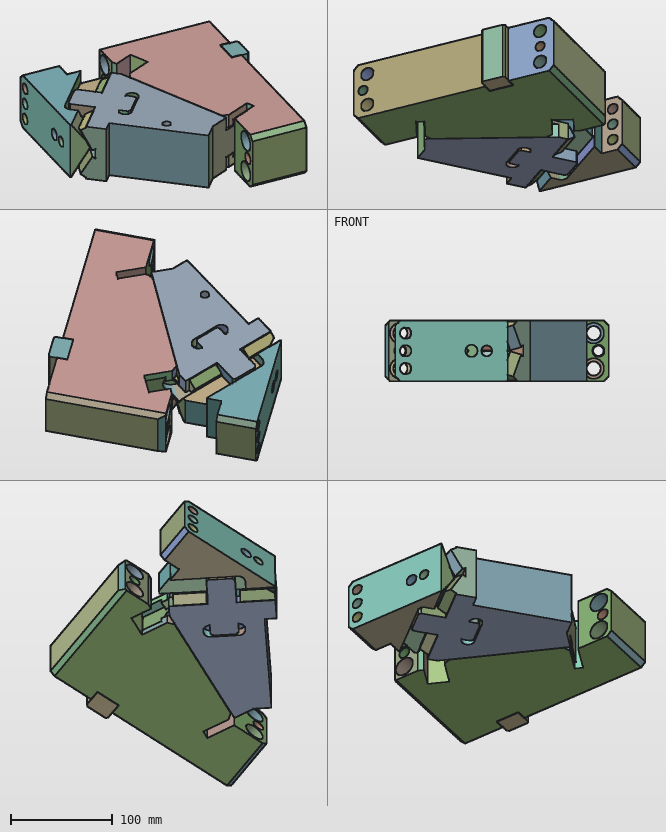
import cadquery as cq
import math

WIDTH = 60.0
HALF = WIDTH / 2
EDGE_CHAMFER = 5.0
BOLT_Z = 17.4
CLEAR = 264.0

TRAVEL_ANGLE = 25.0
RIDGE_ANGLE = -40.0
FLANK_LEAN = TRAVEL_ANGLE - RIDGE_ANGLE

LENGTH = 220.0
HOLDER_TOP = 209.9
LEFT_LEG_Y = 89.8
RIGHT_LEG_Y = 150.5
LEFT_CORNER = (3.5, 7.0)

WEB_LEFT = 93.7
WEB_RIGHT = 218.7
WEB_V = 56.5
WEB_CHAMFER = 5.3
SLOT_END_V = 90.2
LEFT_SLOT = 21.5
RIGHT_SLOT = 8.4
LEG_LIP_V = 68.2

HOLDER_BOLT_X = 15.0
BOLT_RADIUS = 6.8
COUNTERBORE_RADIUS = 10.1
HEAD_SEAT = 30.0
DOWEL_RADIUS = 5.0
DOWEL_RELIEF_RADIUS = 6.0
RIGHT_DOWEL_X = 209.7

KEY_LEFT = 49.7
KEY_LENGTH = 25.7
KEY_BOTTOM = 199.5
KEY_TOP = 219.0
KEY_SINK = 0.7
KEY_CHAMFER = 1.8

NECK_HALF = 15.6
HEAD_HALF = 21.3
HEAD_V = 68.5
GROOVE_END_V = 94.5
TONGUE_END_V = 94.0
TONGUE_LEFT = 102.5
SLIDE_RIGHT = 220.0
SPRING_V = 57.2
SPRING_RADIUS = 12.3
SPRING_DEPTH = 7.7

ROOF_Q = 94.8
ROOF_SLOPE = math.tan(math.radians(29))
CHEEK_HALF = 17.4

SLIDE_V = 56.0
FLANK_P = -13.9
WORK_P = 79.2
HEEL_P = 91.0
HEEL_Q = 113.5
SLIDE_TOP_Q = 214.0
LIP_Q = 92.8
LIP_TIP_Q = 83.5
LIP_LEFT_P = -9.2
LIP_ROOT_Z = 28.8
LIP_TIP_Z = 22.7
HEEL_FLARE = (9.7, 6.5)
FLANK_FLARE = (2.2, 1.5)
RELIEF_TIP_Q = 93.7
RELIEF_FLOOR_Q = 102.5
RELIEF_HALF = 5.5
LIP_GAP = (23.5, 56.8)

KEEPER_LEFT = 24.9
KEEPER_RIGHT = 53.0
KEEPER_BOTTOM = 65.5
KEEPER_TOP = 128.5
KEEPER_CHAMFER = 2.2
LOBE_Q = 123.5
LOBE_RADIUS = 6.5

SLIDE_HOLE_X = 159.7
SLIDE_HOLE_Y = 86.2
SLIDE_HOLE_RADIUS = 4.2
SLIDE_HOLE_DEPTH = 13.2
DRILL_POINT = 118.0

DRIVER_LEFT = 10.0
DRIVER_RIGHT = 120.3
FOOT_Y = 40.0
STEP_X = 32.5
STEP_Y = 54.8
RIDGE_LEFT = 35.2
RIDGE_END_P = -22.7
POCKET_Q = 63.4
POCKET_RIGHT_P = 63.1
POCKET_RADIUS = 6.5
FOOT_BOLT_X = 20.2
FOOT_BOLT_RADIUS = 5.5
DRIVER_DOWELS = ((85.0, 6.0), (99.9, 5.3))


def turned(angle, z=0.0):
    """Workplane parallel to XY, turned about Z."""
    turn = math.radians(angle)
    x_dir = (math.cos(turn), math.sin(turn), 0)
    return cq.Workplane(cq.Plane(origin=(0, 0, z), xDir=x_dir, normal=(0, 0, 1)))


def from_turned(angle, along, across):
    """A point of a frame turned about Z, given in the frame it is turned from."""
    turn = math.radians(angle)
    x = along * math.cos(turn) - across * math.sin(turn)
    y = along * math.sin(turn) + across * math.cos(turn)
    return (x, y)


def block(angle, low, high, z_low, z_high):
    """Box between two corners of a turned frame and two Z levels."""
    size = (high[0] - low[0], high[1] - low[1], z_high - z_low)
    return turned(angle, z_low).moveTo(*low).box(*size, centered=False)


def section_plane(p):
    """Workplane across the ridge: local x is q, local y is Z."""
    turn = math.radians(RIDGE_ANGLE)
    along = (math.cos(turn), math.sin(turn), 0)
    origin = (p * along[0], p * along[1], 0)
    return cq.Workplane(cq.Plane(origin=origin, xDir=(-along[1], along[0], 0), normal=along))


def y_hole(x, z, radius, y_low, y_high):
    """Round cutter parallel to Y."""
    plane = cq.Plane(origin=(x, y_low, z), xDir=(1, 0, 0), normal=(0, 1, 0))
    return cq.Workplane(plane).circle(radius).extrude(y_high - y_low)


def both_faces(upper):
    """A cutter or block together with its mirror image below the middle plane."""
    return upper.union(upper.mirror("XY"))


def roof_prism(p_low, p_high):
    """Solid below the V roof of the ridge."""
    base_q = ROOF_Q - CLEAR * ROOF_SLOPE
    points = [(base_q, -CLEAR), (ROOF_Q, 0), (base_q, CLEAR)]
    return section_plane(p_low).polyline(points).close().extrude(p_high - p_low)


def holder_blank():
    lip_x, lip_y = from_turned(TRAVEL_ANGLE, WEB_LEFT - LEFT_SLOT, LEG_LIP_V)
    turn = math.radians(TRAVEL_ANGLE)
    right_slot_edge = WEB_RIGHT + RIGHT_SLOT
    slot_mouth_x = right_slot_edge / math.cos(turn) - RIGHT_LEG_Y * math.tan(turn)
    points = [
        (0, HOLDER_TOP),
        (0, LEFT_LEG_Y + LEFT_CORNER[1]),
        (LEFT_CORNER[0], LEFT_LEG_Y),
        (lip_x - (lip_y - LEFT_LEG_Y) / math.tan(turn), LEFT_LEG_Y),
        (lip_x, lip_y),
        from_turned(TRAVEL_ANGLE, WEB_LEFT - LEFT_SLOT, SLOT_END_V),
        from_turned(TRAVEL_ANGLE, WEB_LEFT, SLOT_END_V),
        from_turned(TRAVEL_ANGLE, WEB_LEFT, WEB_V + WEB_CHAMFER),
        from_turned(TRAVEL_ANGLE, WEB_LEFT + WEB_CHAMFER, WEB_V),
        from_turned(TRAVEL_ANGLE, WEB_RIGHT - WEB_CHAMFER, WEB_V),
        from_turned(TRAVEL_ANGLE, WEB_RIGHT, WEB_V + WEB_CHAMFER),
        from_turned(TRAVEL_ANGLE, WEB_RIGHT, SLOT_END_V),
        from_turned(TRAVEL_ANGLE, right_slot_edge, SLOT_END_V),
        (slot_mouth_x, RIGHT_LEG_Y),
        (LENGTH, RIGHT_LEG_Y),
        (LENGTH, HOLDER_TOP),
    ]
    blank = cq.Workplane("XY").workplane(offset=-HALF).polyline(points).close().extrude(WIDTH)
    ends = blank.faces("<X or >X").edges("|Y")
    return blank.newObject(ends.vals()).chamfer(EDGE_CHAMFER)


def guide_groove():
    neck = block(TRAVEL_ANGLE, (WEB_LEFT, WEB_V), (SLIDE_RIGHT, GROOVE_END_V), -NECK_HALF, NECK_HALF)
    head = block(TRAVEL_ANGLE, (WEB_LEFT, HEAD_V), (SLIDE_RIGHT, GROOVE_END_V), -HEAD_HALF, HEAD_HALF)
    return neck.union(head)


def holder_holes():
    legs = (
        (HOLDER_BOLT_X, HOLDER_BOLT_X, LEFT_LEG_Y),
        (LENGTH - HOLDER_BOLT_X, RIGHT_DOWEL_X, RIGHT_LEG_Y),
    )
    holes = cq.Workplane("XY")
    for bolt_x, dowel_x, leg_y in legs:
        for z in (-BOLT_Z, BOLT_Z):
            holes = holes.add(y_hole(bolt_x, z, BOLT_RADIUS, leg_y, HOLDER_TOP))
            holes = holes.add(y_hole(bolt_x, z, COUNTERBORE_RADIUS, leg_y, HOLDER_TOP - HEAD_SEAT))
        holes = holes.add(y_hole(dowel_x, 0, DOWEL_RADIUS, leg_y, HOLDER_TOP))
        holes = holes.add(y_hole(dowel_x, 0, DOWEL_RELIEF_RADIUS, leg_y, HOLDER_TOP - HEAD_SEAT))
    return holes.combine()


def key_block(height):
    size = (KEY_LENGTH, KEY_TOP - KEY_BOTTOM, height)
    corner = (KEY_LEFT, KEY_BOTTOM, -height / 2)
    return cq.Workplane("XY").box(*size, centered=False).translate(corner)


def make_holder():
    holder = holder_blank().cut(guide_groove()).cut(holder_holes())
    key = key_block(WIDTH - 2 * KEY_SINK).faces(">Y").edges("|Z").chamfer(KEY_CHAMFER)
    return holder.cut(key_block(WIDTH)).union(key)


def flank_corner_u():
    """u of the corner between the left flank and the face towards the holder."""
    lean = math.radians(FLANK_LEAN)
    flank_q = (SLIDE_V + FLANK_P * math.sin(lean)) / math.cos(lean)
    return FLANK_P * math.cos(lean) + flank_q * math.sin(lean)


def slide_blank():
    lean = math.radians(FLANK_LEAN)
    shoulder_p = (SLIDE_RIGHT - SLIDE_TOP_Q * math.sin(lean)) / math.cos(lean)
    points = [
        from_turned(FLANK_LEAN, flank_corner_u(), SLIDE_V),
        (FLANK_P, LIP_Q),
        (LIP_LEFT_P, LIP_Q),
        (LIP_LEFT_P, LIP_TIP_Q),
        (HEEL_P, LIP_TIP_Q),
        (HEEL_P, HEEL_Q),
        (WORK_P, HEEL_Q),
        (WORK_P, SLIDE_TOP_Q),
        (shoulder_p, SLIDE_TOP_Q),
        from_turned(FLANK_LEAN, SLIDE_RIGHT, SLIDE_V),
    ]
    return turned(RIDGE_ANGLE, -HALF).polyline(points).close().extrude(WIDTH)


def lip_bevel():
    points = [(LIP_Q, HALF), (LIP_Q, LIP_ROOT_Z), (LIP_TIP_Q, LIP_TIP_Z), (LIP_TIP_Q, HALF)]
    bevel = section_plane(LIP_LEFT_P).polyline(points).close().extrude(HEEL_P - LIP_LEFT_P)
    return both_faces(bevel)


def groove_flare(inner_p, outer_p, depth):
    """V groove that deepens towards the end at outer_p."""
    base_q = ROOF_Q - WIDTH * ROOF_SLOPE
    start = [(base_q, -WIDTH), (ROOF_Q, 0), (base_q, WIDTH)]
    end = [(q + depth, z) for q, z in start]
    inner = section_plane(inner_p).polyline(start).close().wires().val()
    outer = section_plane(outer_p).polyline(end).close().wires().val()
    return cq.Workplane(cq.Solid.makeLoft([inner, outer], True))


def groove_undercut():
    points = [(RELIEF_TIP_Q, 0), (RELIEF_FLOOR_Q, RELIEF_HALF), (RELIEF_FLOOR_Q, -RELIEF_HALF)]
    return section_plane(FLANK_P).polyline(points).close().extrude(HEEL_P - FLANK_P)


def tongue():
    """T-shaped tongue that runs in the holder's guide groove."""
    flank_u = flank_corner_u()
    flank_rise = (TONGUE_LEFT - flank_u) / math.tan(math.radians(FLANK_LEAN))
    points = [
        (flank_u, SLIDE_V),
        (TONGUE_LEFT, SLIDE_V + flank_rise),
        (TONGUE_LEFT, TONGUE_END_V),
        (SLIDE_RIGHT, TONGUE_END_V),
        (SLIDE_RIGHT, SLIDE_V),
    ]
    neck = turned(TRAVEL_ANGLE, -NECK_HALF).polyline(points).close().extrude(2 * NECK_HALF)
    low = (TONGUE_LEFT, HEAD_V)
    head = block(TRAVEL_ANGLE, low, (SLIDE_RIGHT, TONGUE_END_V), -HEAD_HALF, HEAD_HALF)
    return neck.union(head)


def spring_seat():
    """Round-ended seat in the tongue's left end, open towards the flank."""
    end_u = TONGUE_LEFT + SPRING_DEPTH
    turn = math.radians(TRAVEL_ANGLE)
    along = (math.cos(turn), math.sin(turn), 0)
    origin = (*from_turned(TRAVEL_ANGLE, 0, SPRING_V), 0)
    plane = cq.Plane(origin=origin, xDir=(0, 0, 1), normal=along)
    bore = cq.Workplane(plane).circle(SPRING_RADIUS).extrude(end_u)
    mouth = block(TRAVEL_ANGLE, (0, 0), (end_u, SPRING_V), -SPRING_RADIUS, SPRING_RADIUS)
    return bore.union(mouth)


def face_hole():
    """Blind hole with a conical drill point in the slide's upper face."""
    point_depth = SLIDE_HOLE_RADIUS / math.tan(math.radians(DRILL_POINT / 2))
    bottom = HALF - SLIDE_HOLE_DEPTH
    profile = [
        (0, HALF),
        (SLIDE_HOLE_RADIUS, HALF),
        (SLIDE_HOLE_RADIUS, bottom),
        (0, bottom - point_depth),
    ]
    hole = cq.Workplane("XZ").polyline(profile).close().revolve(360, (0, 0), (0, 1))
    return hole.translate((SLIDE_HOLE_X, SLIDE_HOLE_Y, 0))


def keeper_recess():
    """Round-cornered pocket around the upper end of each keeper."""
    low = (KEEPER_LEFT, LOBE_Q - LOBE_RADIUS)
    high = (KEEPER_RIGHT, LOBE_Q + LOBE_RADIUS)
    recess = block(RIDGE_ANGLE, low, high, CHEEK_HALF, HALF)
    for p in (KEEPER_LEFT, KEEPER_RIGHT):
        lobe = turned(RIDGE_ANGLE, CHEEK_HALF).moveTo(p, LOBE_Q).circle(LOBE_RADIUS)
        recess = recess.union(lobe.extrude(HALF - CHEEK_HALF))
    return both_faces(recess)


def keepers():
    """Plates, one on each face, that reach over the driver's ridge."""
    low = (KEEPER_LEFT, KEEPER_BOTTOM)
    plate = block(RIDGE_ANGLE, low, (KEEPER_RIGHT, KEEPER_TOP), CHEEK_HALF, HALF)
    return both_faces(plate.edges("|Z").chamfer(KEEPER_CHAMFER))


def make_slide():
    slide = slide_blank().cut(lip_bevel())
    slide = slide.cut(roof_prism(FLANK_P, HEEL_P)).cut(groove_undercut())
    heel_length, heel_depth = HEEL_FLARE
    flank_length, flank_depth = FLANK_FLARE
    slide = slide.cut(groove_flare(HEEL_P - heel_length, HEEL_P, heel_depth))
    slide = slide.cut(groove_flare(LIP_LEFT_P + flank_length, LIP_LEFT_P, flank_depth))
    gap_low = (LIP_GAP[0], LIP_TIP_Q)
    gap = block(RIDGE_ANGLE, gap_low, (LIP_GAP[1], LIP_Q), CHEEK_HALF, HALF)
    slide = slide.cut(both_faces(gap)).cut(keeper_recess())
    slide = slide.union(tongue()).cut(spring_seat()).union(keepers())
    return slide.cut(face_hole())


def driver_blank():
    turn = math.radians(RIDGE_ANGLE)
    end_q = (RIDGE_LEFT - RIDGE_END_P * math.cos(turn)) / math.sin(-turn)
    right_top = (ROOF_Q - DRIVER_RIGHT * math.sin(-turn)) / math.cos(turn)
    points = [
        (DRIVER_LEFT, 0),
        (DRIVER_RIGHT, 0),
        (DRIVER_RIGHT, right_top),
        from_turned(RIDGE_ANGLE, RIDGE_END_P, ROOF_Q),
        from_turned(RIDGE_ANGLE, RIDGE_END_P, end_q),
        (RIDGE_LEFT, STEP_Y),
        (STEP_X, STEP_Y),
        (STEP_X, FOOT_Y),
        (DRIVER_LEFT, FOOT_Y),
    ]
    blank = cq.Workplane("XY").workplane(offset=-HALF).polyline(points).close().extrude(WIDTH)
    return blank.faces("<X").edges("|Y").chamfer(EDGE_CHAMFER)


def driver_pockets():
    """Recesses on both faces that leave the narrow ridge and clear the keepers."""
    low = (-CLEAR, POCKET_Q)
    pocket = block(RIDGE_ANGLE, low, (POCKET_RIGHT_P, CLEAR), CHEEK_HALF, HALF)
    corner = cq.selectors.NearestToPointSelector((*from_turned(RIDGE_ANGLE, POCKET_RIGHT_P, POCKET_Q), HALF))
    return both_faces(pocket.edges("|Z").edges(corner).fillet(POCKET_RADIUS))


def make_driver():
    driver = driver_blank().intersect(roof_prism(-CLEAR, CLEAR)).cut(driver_pockets())
    for z in (-BOLT_Z, 0, BOLT_Z):
        driver = driver.cut(y_hole(FOOT_BOLT_X, z, FOOT_BOLT_RADIUS, 0, FOOT_Y))
    for x, radius in DRIVER_DOWELS:
        driver = driver.cut(y_hole(x, 0, radius, 0, STEP_Y))
    return driver


holder = make_holder()
slide = make_slide()
driver = make_driver()

result = cq.Compound.makeCompound([holder.solids().val(), slide.solids().val(), driver.solids().val()])